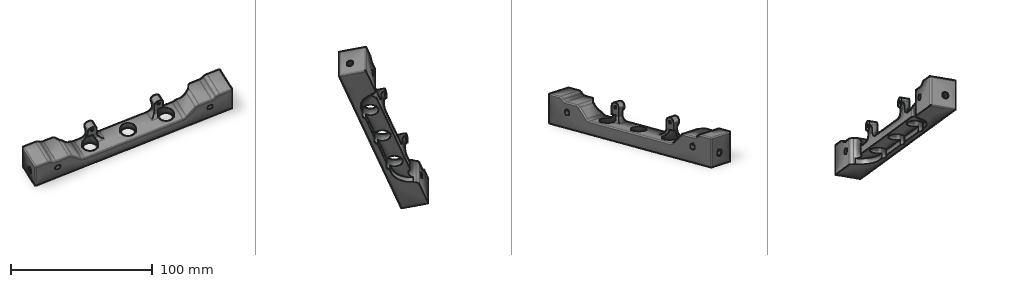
import cadquery as cq
import math

WIDTH = 20.3
LENGTH = 156.0
HALF_LENGTH = LENGTH / 2
END_HEIGHT = 22.5
SHELF_HEIGHT = 19.7
BAR_HEIGHT = 10.3
EDGE_RADIUS = 1.0

RAMP_RADIUS = 4.0
END_RAMP_Y = 64.6
BAR_RAMP_Y = 45.1

BAR_FACE_X = 3.0
NOTCH_DEPTH = 5.5
NOTCH_Y = 46.8
NOTCH_RADIUS = 5.6
NOTCH_CORNER_RADIUS = 3.0

UNDERCUT_HEIGHT = 4.2
UNDERCUT_WALL_X = 15.5
UNDERCUT_END_RADIUS = 15.0
UNDERCUT_END_Y = 51.5

BOLT_DIAMETER = 11.5
BOLT_X = 10.9
BOLT_SPACING = 30.0
CROSS_DIAMETER = 4.4
CROSS_Y = 60.0
CROSS_Z = 12.2
END_HOLE_DIAMETER = 4.2
END_HOLE_X = 11.7
END_HOLE_Z = 9.5
END_HOLE_DEPTH = 12.5
END_HOLE_MOUTH_DIAMETER = 5.0
DRILL_TIP_ANGLE = 118.0

LUG_DIAMETER = 7.0
LUG_RADIUS = LUG_DIAMETER / 2
LUG_Y = 26.2
LUG_TOP = 23.5
LUG_Z = LUG_TOP - LUG_RADIUS
LUG_FRONT_X = 1.0
LUG_BACK_X = 7.0
LUG_HOLE_DIAMETER = 2.0
LUG_ROOT_RADIUS = 4.0
LUG_NECK_RADIUS = 1.7
LUG_FLARE_TOP = BAR_HEIGHT + LUG_ROOT_RADIUS

SELECT_MARGIN = 0.2


def box(x_range, y_range, z_range):
    """Return a box that fills the three given (low, high) ranges."""
    sizes = [high - low for low, high in (x_range, y_range, z_range)]
    corner = (x_range[0], y_range[0], z_range[0])
    return cq.Workplane("XY").box(*sizes, centered=False).translate(corner)


def x_cylinder(diameter, start_x, end_x, y, z):
    """Return a cylinder along X."""
    plane = cq.Workplane("YZ", origin=(start_x, y, z))
    return plane.circle(diameter / 2).extrude(end_x - start_x)


def long_profile():
    """Block with the stepped top, rounded ramps and rounded outer edges."""
    end_half_run = (END_HEIGHT - SHELF_HEIGHT) / 2
    bar_half_run = (SHELF_HEIGHT - BAR_HEIGHT) / 2
    top = [
        (HALF_LENGTH, END_HEIGHT),
        (END_RAMP_Y + end_half_run, END_HEIGHT),
        (END_RAMP_Y - end_half_run, SHELF_HEIGHT),
        (BAR_RAMP_Y + bar_half_run, SHELF_HEIGHT),
        (BAR_RAMP_Y - bar_half_run, BAR_HEIGHT),
    ]
    mirrored_top = [(-y, z) for y, z in reversed(top)]
    outline = [(HALF_LENGTH, 0)] + top + mirrored_top + [(-HALF_LENGTH, 0)]
    block = cq.Workplane("YZ").polyline(outline).close().extrude(WIDTH)

    ramp_zone = cq.selectors.BoxSelector(
        (0, -HALF_LENGTH + SELECT_MARGIN, SELECT_MARGIN),
        (WIDTH, HALF_LENGTH - SELECT_MARGIN, END_HEIGHT + SELECT_MARGIN),
    )
    block = block.edges("|X").edges(ramp_zone).fillet(RAMP_RADIUS)
    return block.faces("<Y or >Y or >X").edges().fillet(EDGE_RADIUS)


def side_plan():
    """Full-height block with the bar relief and the two rounded notches."""
    plan = box((0, WIDTH), (-HALF_LENGTH, HALF_LENGTH), (0, END_HEIGHT))
    plan = plan.cut(box((0, BAR_FACE_X), (-NOTCH_Y, NOTCH_Y), (0, END_HEIGHT)))
    notches = (
        cq.Workplane("XY")
        .pushPoints([(NOTCH_DEPTH - NOTCH_RADIUS, side * NOTCH_Y) for side in (-1, 1)])
        .circle(NOTCH_RADIUS)
        .extrude(END_HEIGHT)
    )
    plan = plan.cut(notches)
    outer_reach = NOTCH_Y + NOTCH_RADIUS + SELECT_MARGIN
    corner_zone = cq.selectors.BoxSelector(
        (-SELECT_MARGIN, -outer_reach, 0),
        (BAR_FACE_X + SELECT_MARGIN, outer_reach, END_HEIGHT),
    )
    return plan.edges("|Z").edges(corner_zone).fillet(NOTCH_CORNER_RADIUS)


def undercut():
    """Space under the bar, rounded at both ends."""
    space = box(
        (0, UNDERCUT_WALL_X),
        (-UNDERCUT_END_Y, UNDERCUT_END_Y),
        (0, UNDERCUT_HEIGHT),
    )
    return space.edges("|Z and >X").fillet(UNDERCUT_END_RADIUS)


def lug_post(y):
    """Post of a lug, with a root that flares into the bar."""
    half_root = LUG_RADIUS + LUG_ROOT_RADIUS
    depth = LUG_BACK_X + LUG_ROOT_RADIUS - BAR_FACE_X
    width_profile = (
        cq.Workplane("YZ", origin=(BAR_FACE_X, y, 0))
        .moveTo(-half_root, BAR_HEIGHT)
        .radiusArc((-LUG_RADIUS, LUG_FLARE_TOP), -LUG_ROOT_RADIUS)
        .lineTo(-LUG_RADIUS, LUG_Z)
        .lineTo(LUG_RADIUS, LUG_Z)
        .lineTo(LUG_RADIUS, LUG_FLARE_TOP)
        .radiusArc((half_root, BAR_HEIGHT), -LUG_ROOT_RADIUS)
        .close()
        .extrude(depth)
    )
    depth_profile = (
        cq.Workplane("XZ", origin=(0, y + half_root, 0))
        .moveTo(BAR_FACE_X, BAR_HEIGHT)
        .lineTo(BAR_FACE_X, LUG_Z)
        .lineTo(LUG_BACK_X, LUG_Z)
        .lineTo(LUG_BACK_X, LUG_FLARE_TOP)
        .radiusArc((LUG_BACK_X + LUG_ROOT_RADIUS, BAR_HEIGHT), -LUG_ROOT_RADIUS)
        .close()
        .extrude(2 * half_root)
    )
    return width_profile.intersect(depth_profile)


def lug_barrel(y):
    """Round head of a lug, with a curved neck under its overhanging front."""
    barrel = x_cylinder(LUG_DIAMETER, LUG_FRONT_X, LUG_BACK_X, y, LUG_Z)
    neck_start_x = BAR_FACE_X - LUG_NECK_RADIUS
    neck = (
        cq.Workplane("XY", origin=(0, y, LUG_Z))
        .moveTo(neck_start_x, 0)
        .lineTo(neck_start_x, LUG_RADIUS)
        .radiusArc((BAR_FACE_X, LUG_RADIUS + LUG_NECK_RADIUS), -LUG_NECK_RADIUS)
        .lineTo(BAR_FACE_X, 0)
        .close()
        .revolve(360, (0, 0, 0), (1, 0, 0))
    )
    neck_limit = box((0, BAR_FACE_X), (y - LUG_RADIUS, y + LUG_RADIUS), (BAR_HEIGHT, LUG_Z))
    return barrel.union(neck.intersect(neck_limit))


def bolt_holes():
    """Row of three vertical holes through the bar and the flared lug roots."""
    centers = [(BOLT_X, step * BOLT_SPACING) for step in (-1, 0, 1)]
    return cq.Workplane("XY").pushPoints(centers).circle(BOLT_DIAMETER / 2).extrude(LUG_FLARE_TOP)


def end_hole(side):
    """Blind drilled hole with a chamfered mouth and a conical tip in one end face."""
    radius = END_HOLE_DIAMETER / 2
    mouth_radius = END_HOLE_MOUTH_DIAMETER / 2
    tip_length = radius / math.tan(math.radians(DRILL_TIP_ANGLE / 2))
    half_section = [
        (0, 0),
        (mouth_radius, 0),
        (radius, mouth_radius - radius),
        (radius, END_HOLE_DEPTH),
        (0, END_HOLE_DEPTH + tip_length),
    ]
    drill = cq.Workplane("XY").polyline(half_section).close().revolve(360, (0, 0, 0), (0, 1, 0))
    drill = drill.translate((END_HOLE_X, -HALF_LENGTH, END_HOLE_Z))
    return drill if side < 0 else drill.mirror("XZ")


result = long_profile().intersect(side_plan()).cut(undercut())
for side in (-1, 1):
    result = result.union(lug_post(side * LUG_Y)).union(lug_barrel(side * LUG_Y))

result = result.cut(bolt_holes())
for side in (-1, 1):
    result = result.cut(x_cylinder(LUG_HOLE_DIAMETER, 0, WIDTH, side * LUG_Y, LUG_Z))
    result = result.cut(x_cylinder(CROSS_DIAMETER, 0, WIDTH, side * CROSS_Y, CROSS_Z))
    result = result.cut(end_hole(side))